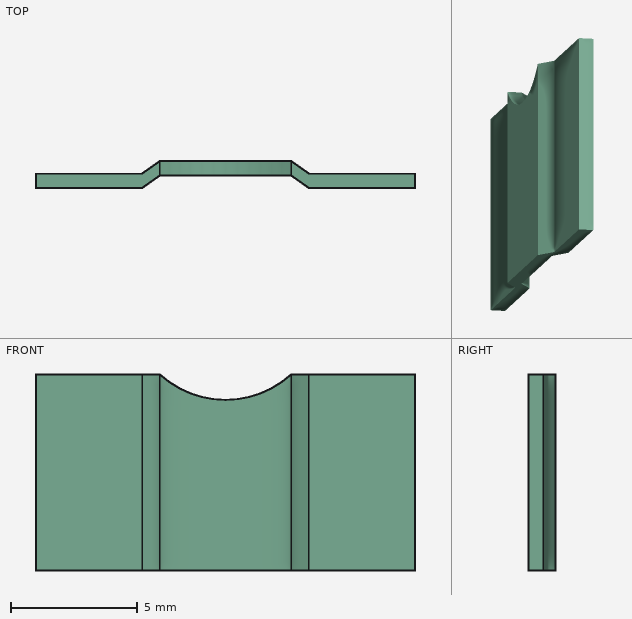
import cadquery as cq

length = 15.0
height = 7.75
depth = 1.08

thickness = 0.58
step = depth - thickness
centre_half_width = 2.59
bend_run = 0.71
bend_end = centre_half_width + bend_run
half_length = length / 2

notch_depth = 1.0


def make_centre():
    """Raised middle plate with a shallow round notch in its top edge."""
    return (
        cq.Workplane("XZ", origin=(0, step, 0))
        .moveTo(-centre_half_width, 0)
        .lineTo(centre_half_width, 0)
        .lineTo(centre_half_width, height)
        .threePointArc((0, height - notch_depth), (-centre_half_width, height))
        .close()
        .extrude(-thickness)
    )


def make_wing(side):
    """Flat end plate with the sloped bend up to the centre; side is -1 or +1 along X."""
    front_edge = [
        (side * centre_half_width, step),
        (side * bend_end, 0),
        (side * half_length, 0),
    ]
    back_edge = [(x, y + thickness) for x, y in reversed(front_edge)]
    return cq.Workplane("XY").polyline(front_edge + back_edge).close().extrude(height)


centre = make_centre()
wings = [make_wing(side) for side in (-1, 1)]

result = cq.Compound.makeCompound([centre.val(), *[wing.val() for wing in wings]])